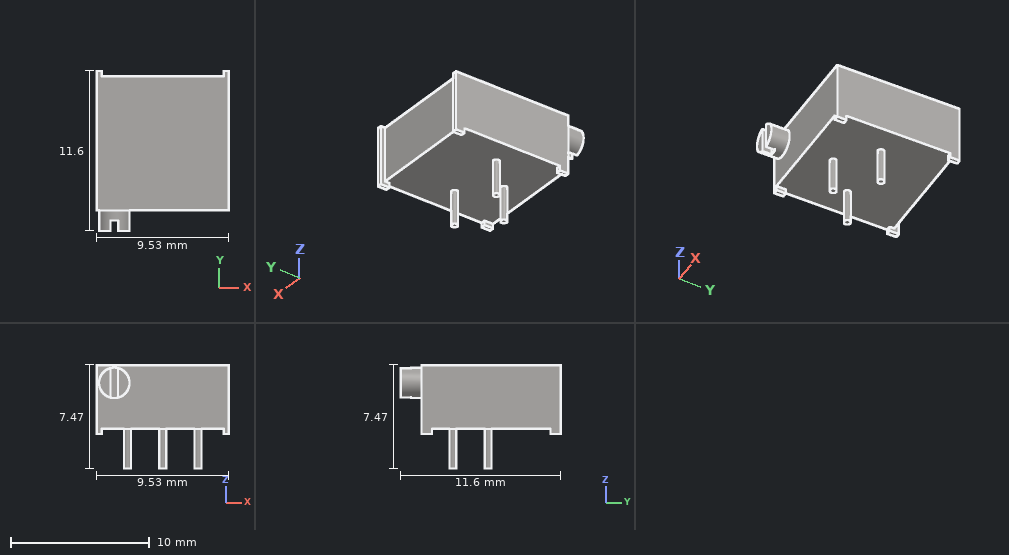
import cadquery as cq

housing_width = 9.53
housing_depth = 10.05
housing_height = 4.97
foot_width = 0.38
foot_length = 0.76
foot_height = 0.38
rear_recess_depth = 0.38
underside_z = foot_height

screw_diameter = 2.2
screw_length = 1.5
screw_edge_gap = 0.17
screw_x = screw_edge_gap + screw_diameter / 2
screw_z = housing_height - screw_edge_gap - screw_diameter / 2
slot_width = 0.54
slot_depth = 0.75

pin_diameter = 0.51
pin_length = 2.88
pin_pitch = 2.54
pin_front_y = 2.26
pin_rear_y = pin_front_y + pin_pitch
pin_middle_x = housing_width / 2
pin_places = [
    (pin_middle_x - pin_pitch, pin_rear_y),
    (pin_middle_x, pin_front_y),
    (pin_middle_x + pin_pitch, pin_rear_y),
]


def make_housing():
    """Block standing on four corner feet, with a shallow recess across the rear face."""
    block = cq.Workplane("XY").box(housing_width, housing_depth, housing_height, centered=False)
    inner_width = housing_width - 2 * foot_width
    inner_depth = housing_depth - 2 * foot_length

    channel_along_y = (
        cq.Workplane("XY")
        .box(inner_width, housing_depth, foot_height, centered=False)
        .translate((foot_width, 0, 0))
    )
    channel_along_x = (
        cq.Workplane("XY")
        .box(housing_width, inner_depth, foot_height, centered=False)
        .translate((0, foot_length, 0))
    )
    rear_recess = (
        cq.Workplane("XY")
        .box(inner_width, rear_recess_depth, housing_height, centered=False)
        .translate((foot_width, housing_depth - rear_recess_depth, 0))
    )
    return block.cut(channel_along_y).cut(channel_along_x).cut(rear_recess)


def make_screw():
    """Round screw head on the front face, with a vertical screwdriver slot."""
    head = (
        cq.Workplane("XZ")
        .center(screw_x, screw_z)
        .circle(screw_diameter / 2)
        .extrude(screw_length)
    )
    slot = (
        cq.Workplane("XY")
        .box(slot_width, slot_depth, screw_diameter, centered=(True, False, True))
        .translate((screw_x, -screw_length, screw_z))
    )
    return head.cut(slot)


def make_pin(x, y):
    """Round terminal hanging from the underside of the housing."""
    return (
        cq.Workplane("XY", origin=(x, y, underside_z))
        .circle(pin_diameter / 2)
        .extrude(-pin_length)
    )


housing = make_housing()
screw = make_screw()
pins = [make_pin(x, y) for x, y in pin_places]

result = cq.Compound.makeCompound([housing.val(), screw.val(), *[pin.val() for pin in pins]])